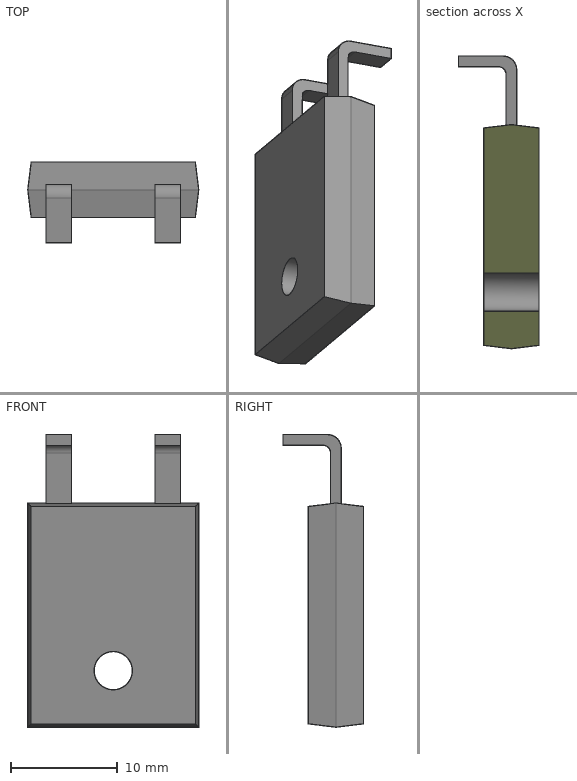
import cadquery as cq
import math

body_width = 16.01
body_height = 20.98
body_depth = 5.2
draft_angle = 7.0

hole_diameter = 3.55
hole_height = 5.3

overall_height = 27.39
overall_depth = 7.56
lead_pitch = 10.2
lead_width = 2.4
lead_thickness = 1.02
lead_outer_radius = 1.3
lead_inner_radius = 0.7
lead_embed = 1.0

half_depth = body_depth / 2
lead_tip_y = half_depth - overall_depth
lead_back_y = lead_thickness / 2
lead_front_y = -lead_thickness / 2


def drafted_half(direction):
    """One half of the body, tapering away from the parting plane Y = 0; direction is +1 or -1."""
    inset = half_depth * math.tan(math.radians(draft_angle))
    face_width = body_width - 2 * inset
    face_height = body_height - 2 * inset
    return (
        cq.Workplane("XZ", origin=(0, 0, body_height / 2))
        .rect(body_width, body_height)
        .workplane(offset=-direction * half_depth)
        .rect(face_width, face_height)
        .loft(ruled=True)
    )


def bent_lead(center_x):
    """L-shaped lead rising from the top of the body and turning toward -Y."""
    blank = (
        cq.Workplane("YZ", origin=(center_x, 0, 0))
        .moveTo(lead_back_y, body_height - lead_embed)
        .lineTo(lead_back_y, overall_height)
        .lineTo(lead_tip_y, overall_height)
        .lineTo(lead_tip_y, overall_height - lead_thickness)
        .lineTo(lead_front_y, overall_height - lead_thickness)
        .lineTo(lead_front_y, body_height - lead_embed)
        .close()
        .extrude(lead_width / 2, both=True)
    )
    outer_corner = cq.NearestToPointSelector((center_x, lead_back_y, overall_height))
    inner_corner = cq.NearestToPointSelector((center_x, lead_front_y, overall_height - lead_thickness))
    return blank.edges(outer_corner).fillet(lead_outer_radius).edges(inner_corner).fillet(lead_inner_radius)


def mounting_hole():
    """Cylinder through the full body depth."""
    return (
        cq.Workplane("XZ", origin=(0, 0, hole_height))
        .circle(hole_diameter / 2)
        .extrude(body_depth, both=True)
    )


result = drafted_half(1).union(drafted_half(-1))
for side in (-1, 1):
    result = result.union(bent_lead(side * lead_pitch / 2))
result = result.cut(mounting_hole())